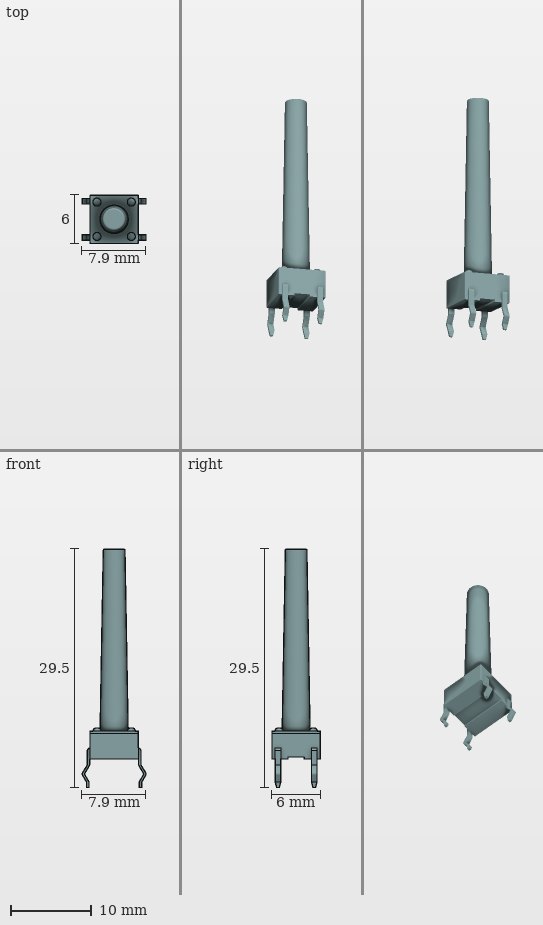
import cadquery as cq
import math

total_height = 29.5
overall_width_x = 7.9

body_width = 6.0
corner_radius = 0.12
housing_bottom = 3.5
cover_bottom = 6.7
cover_top = 7.0
notch_width = 2.0
notch_height = 0.27

rivet_diameter = 1.0
rivet_edge_radius = 0.8 / 2
rivet_offset = 2.12

plunger_base_diameter = 3.5
plunger_tip_diameter = 2.7
plunger_tip_fillet = 0.2

lead_width = 0.7
lead_offset_y = 2.25
lead_top = 4.93
lead_top_radius = 0.6
lead_top_drop = 0.35
kink_angle = math.radians(30)
kink_radius = 0.3
kink_height = 1.68
strip_thickness = kink_radius / math.cos(kink_angle)
upper_bend_drop = 0.05
tip_height = 0.7
tip_width = 0.35


def make_housing():
    housing = (
        cq.Workplane("XY", origin=(0, 0, housing_bottom))
        .rect(body_width, body_width)
        .extrude(cover_bottom - housing_bottom)
        .edges("|Z")
        .fillet(corner_radius)
    )
    notch = (
        cq.Workplane("XY", origin=(0, 0, housing_bottom))
        .rect(body_width, notch_width)
        .extrude(notch_height)
    )
    return housing.cut(notch)


def make_cover():
    cover = (
        cq.Workplane("XY", origin=(0, 0, cover_bottom))
        .rect(body_width, body_width)
        .extrude(cover_top - cover_bottom)
        .edges("|Z")
        .fillet(corner_radius)
    )
    head_top = cover_top + rivet_edge_radius
    rivet_head = (
        cq.Workplane("XZ")
        .moveTo(0, cover_top)
        .lineTo(rivet_diameter / 2, cover_top)
        .radiusArc((rivet_diameter / 2 - rivet_edge_radius, head_top), -rivet_edge_radius)
        .lineTo(0, head_top)
        .close()
        .revolve(360, (0, 0, 0), (0, 1, 0))
    )
    for x in (-rivet_offset, rivet_offset):
        for y in (-rivet_offset, rivet_offset):
            cover = cover.union(rivet_head.translate((x, y, 0)))
    return cover


def make_plunger():
    return (
        cq.Workplane("XZ")
        .moveTo(0, cover_top)
        .lineTo(plunger_base_diameter / 2, cover_top)
        .lineTo(plunger_tip_diameter / 2, total_height)
        .lineTo(0, total_height)
        .close()
        .revolve(360, (0, 0, 0), (0, 1, 0))
        .faces(">Z")
        .edges()
        .fillet(plunger_tip_fillet)
    )


def make_lead(side, y):
    wall = body_width / 2
    outer = wall + strip_thickness
    inner_kink_x = overall_width_x / 2 - kink_radius
    arc_x = inner_kink_x + kink_radius * math.cos(kink_angle)
    arc_rise = kink_radius * math.sin(kink_angle)
    upper_bend_z = kink_height + (inner_kink_x - wall) / math.tan(kink_angle)
    tip_inner_x = inner_kink_x - (kink_height - tip_height) * math.tan(kink_angle)
    tip_outer_x = tip_inner_x + strip_thickness
    lead = (
        cq.Workplane("XZ")
        .moveTo(wall, lead_top)
        .lineTo(wall, upper_bend_z)
        .lineTo(inner_kink_x, kink_height)
        .lineTo(tip_inner_x, tip_height)
        .lineTo(tip_inner_x, 0)
        .lineTo(tip_outer_x, 0)
        .lineTo(tip_outer_x, tip_height)
        .lineTo(arc_x, kink_height - arc_rise)
        .threePointArc((inner_kink_x + kink_radius, kink_height), (arc_x, kink_height + arc_rise))
        .lineTo(outer, upper_bend_z - upper_bend_drop)
        .lineTo(outer, lead_top - lead_top_drop)
        .radiusArc((wall, lead_top), -lead_top_radius)
        .close()
        .extrude(lead_width / 2, both=True)
    )
    tapered_outline = (
        cq.Workplane("YZ")
        .moveTo(-tip_width / 2, 0)
        .lineTo(tip_width / 2, 0)
        .lineTo(lead_width / 2, tip_height)
        .lineTo(lead_width / 2, lead_top)
        .lineTo(-lead_width / 2, lead_top)
        .lineTo(-lead_width / 2, tip_height)
        .close()
        .extrude(overall_width_x)
    )
    lead = lead.intersect(tapered_outline)
    if side < 0:
        lead = lead.mirror("YZ")
    return lead.translate((0, y, 0))


housing = make_housing()
cover = make_cover()
plunger = make_plunger()
leads = [make_lead(side, y).val() for side in (-1, 1) for y in (-lead_offset_y, lead_offset_y)]
result = cq.Compound.makeCompound([housing.val(), cover.val(), plunger.val(), *leads])